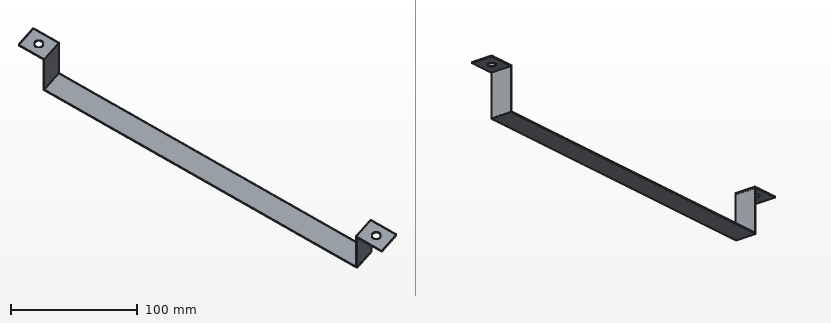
import cadquery as cq

length = 352.0
width = 20.0
height = 41.0

thickness = 1.0
tab_length = 25.0
hole_diameter = 7.0
hole_inset = tab_length / 2

half_length = length / 2
leg_inner_x = half_length - tab_length
leg_outer_x = leg_inner_x + thickness


def strip_profile():
    """Bent strip outline in the XZ plane, with the underside at Z = 0."""
    right_half = [
        (leg_outer_x, 0),
        (leg_outer_x, height - thickness),
        (half_length, height - thickness),
        (half_length, height),
        (leg_inner_x, height),
        (leg_inner_x, thickness),
    ]
    left_half = [(-x, z) for x, z in reversed(right_half)]
    return cq.Workplane("XZ").polyline(right_half + left_half).close()


def tab_holes():
    """Vertical cutters for the screw hole in each tab."""
    hole_x = half_length - hole_inset
    return (
        cq.Workplane("XY")
        .workplane(offset=height - thickness)
        .pushPoints([(-hole_x, 0), (hole_x, 0)])
        .circle(hole_diameter / 2)
        .extrude(thickness)
    )


strip = strip_profile().extrude(width / 2, both=True)
result = strip.cut(tab_holes())